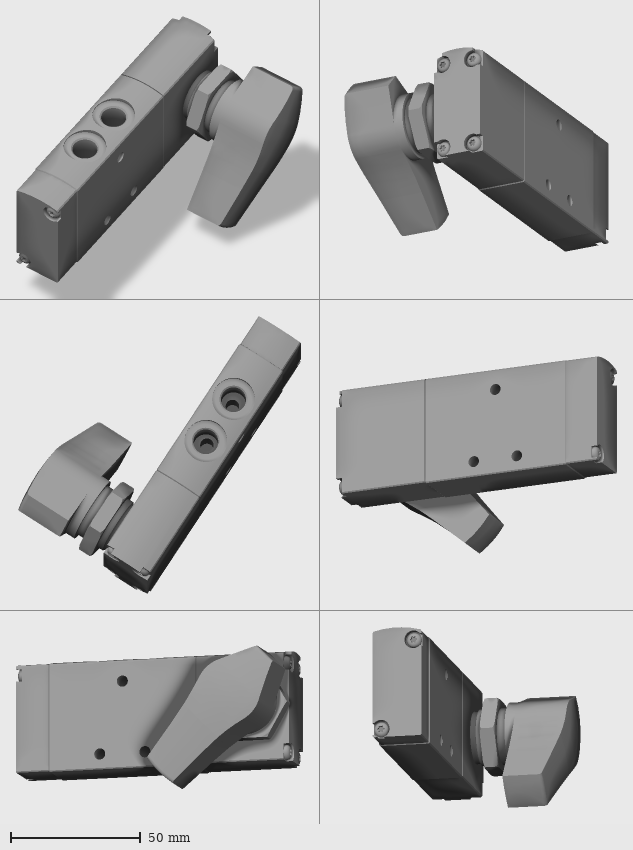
import cadquery as cq
import math


OVERALL_WIDTH = 59.5
BODY_WIDTH = 20.0
HALF_WIDTH = BODY_WIDTH / 2
SHOULDER_Z = 42.1
CROWN_Z = 43.8
REAR_END_Y = 13.9
REAR_JOINT_Y = -23.2
FRONT_JOINT_Y = -82.5
FRONT_END_Y = -95.5
CAP_STEP = 0.3
REAR_STEP = 0.3
EDGE_CHAMFER = 0.5

VALVE_MID_Y = (REAR_JOINT_Y + FRONT_JOINT_Y) / 2
PORT_SPACING = 19.6
CHANNEL_SPACING = 18.1
SPOTFACE_DIAMETER = 16.5
SPOTFACE_Z = 42.2
PORT_DIAMETER = 9.7
PORT_CHAMFER = 0.6
PORT_DEPTH = 11.3
CHANNEL_DIAMETER = 5.2
CHANNEL_DEPTH = 11.3
MOUNT_DIAMETER = 4.4
UPPER_MOUNT_Z = 34.1
LOWER_MOUNT_Z = 6.0

SCREW_X = 6.4
UPPER_SCREW_Z = 38.4
LOWER_SCREW_Z = 3.6
RECESS_DIAMETER = 7.0
RECESS_DEPTH = 2.4
SIDE_SLOT_HEIGHT = 4.7
CORNER_NOTCH_WIDTH = 3.4
CORNER_NOTCH_REACH = 2.9
HEAD_DIAMETER = 5.9
HEAD_HEIGHT = 2.0
HEAD_FILLET = 1.7
SOCKET_DIAMETER = 2.1
LOBE_TIP_DIAMETER = 2.8
LOBE_DIAMETER = 0.7
LOBE_COUNT = 6
SOCKET_DEPTH = 1.1

AXIS_Z = 21.1
NECK_DIAMETER = 22.0
RELIEF_DIAMETER = 20.4
RELIEF_LENGTH = 2.4
RELIEF_SAG = 0.6
NUT_START_X = 14.8
NUT_LENGTH = 5.9
NUT_SIDES = 6
NUT_ACROSS_FLATS = 27.3
NUT_CHAMFER_LENGTH = 0.6
NUT_CHAMFER_HEIGHT = 1.0
COLLAR_START_X = 24.2
COLLAR_DIAMETER = 26.0
HANDLE_START_X = 28.0
HANDLE_END_X = OVERALL_WIDTH - HALF_WIDTH
HANDLE_ANGLE = 45

HUB_RADIUS = COLLAR_DIAMETER / 2
HEAD_U = -20.2
HEAD_HALF_WIDTH = 4.4
CHEEK_U = -14.5
CHEEK_HALF_WIDTH = 7.2
HUB_START_U = -6.4
HUB_END_U = 3.7
WAIST_U = 24.0
WAIST_HALF_WIDTH = 8.7
TAIL_HALF_WIDTH = 7.2
TAIL_RADIUS = 41.5

DOME_RADIUS = 90.3
DOME_TANGENT_U = 15.8
DOME_SWEEP_ANGLE = 40.0
CROWN_RADIUS = 67.7
END_FILLET = 1.5
END_BAND = 1.1


def housing_section(start_y, end_y, half_width, bottom_z, shoulder_z, crown_z):
    """Prism along Y with flat sides, an arched top and chamfers along its lengthwise edges."""
    prism = (
        cq.Workplane("XZ", origin=(0, end_y, 0))
        .moveTo(-half_width, bottom_z)
        .lineTo(half_width, bottom_z)
        .lineTo(half_width, shoulder_z)
        .threePointArc((0, crown_z), (-half_width, shoulder_z))
        .close()
        .extrude(end_y - start_y)
    )
    return prism.edges("|Y").chamfer(EDGE_CHAMFER)


def end_cylinder(x, z, y, inward, diameter, depth):
    """Cylinder that runs from an end face at `y` by `depth` in the direction `inward` (+1 or -1 along Y)."""
    return cq.Workplane(
        cq.Solid.makeCylinder(diameter / 2, depth, cq.Vector(x, y, z), cq.Vector(0, inward, 0))
    )


def end_box(x_range, y_range, z_range):
    """Axis-aligned box between pairs of limits given in either order."""
    lows = [min(pair) for pair in (x_range, y_range, z_range)]
    sizes = [abs(pair[1] - pair[0]) for pair in (x_range, y_range, z_range)]
    return cq.Workplane("XY").box(*sizes, centered=False).translate(tuple(lows))


def screw_head(x, z, floor_y, inward):
    """Domed screw head with a six-lobed socket, standing on the floor of its recess."""
    top_y = floor_y - inward * HEAD_HEIGHT
    face = ">Y" if inward < 0 else "<Y"
    head = end_cylinder(x, z, floor_y, -inward, HEAD_DIAMETER, HEAD_HEIGHT)
    head = head.faces(face).edges().fillet(HEAD_FILLET)
    head = head.cut(end_cylinder(x, z, top_y, inward, SOCKET_DIAMETER, SOCKET_DEPTH))
    lobe_offset = (LOBE_TIP_DIAMETER - LOBE_DIAMETER) / 2
    for index in range(LOBE_COUNT):
        angle = 2 * math.pi * index / LOBE_COUNT
        lobe_x = x + lobe_offset * math.cos(angle)
        lobe_z = z + lobe_offset * math.sin(angle)
        head = head.cut(end_cylinder(lobe_x, lobe_z, top_y, inward, LOBE_DIAMETER, SOCKET_DEPTH))
    return head


def make_valve_body():
    body = housing_section(FRONT_JOINT_Y, REAR_JOINT_Y, HALF_WIDTH, 0, SHOULDER_Z, CROWN_Z)
    body = body.faces("<Y or >Y").edges().chamfer(EDGE_CHAMFER)
    port_floor_z = SPOTFACE_Z - PORT_DEPTH
    for side in (-1, 1):
        port_y = VALVE_MID_Y + side * PORT_SPACING / 2
        channel_y = VALVE_MID_Y + side * CHANNEL_SPACING / 2
        spotface = cq.Workplane("XY", origin=(0, port_y, SPOTFACE_Z)).circle(SPOTFACE_DIAMETER / 2)
        body = body.cut(spotface.extrude(CROWN_Z - SPOTFACE_Z))
        port = (
            cq.Workplane("XZ", origin=(0, port_y, 0))
            .moveTo(0, port_floor_z)
            .lineTo(PORT_DIAMETER / 2, port_floor_z)
            .lineTo(PORT_DIAMETER / 2, SPOTFACE_Z - PORT_CHAMFER)
            .lineTo(PORT_DIAMETER / 2 + PORT_CHAMFER, SPOTFACE_Z)
            .lineTo(0, SPOTFACE_Z)
            .close()
            .revolve(360, (0, 0, 0), (0, 1, 0))
        )
        channel = cq.Workplane("XY", origin=(0, channel_y, port_floor_z)).circle(CHANNEL_DIAMETER / 2)
        body = body.cut(port).cut(channel.extrude(-CHANNEL_DEPTH))
    mounts = [
        (VALVE_MID_Y, UPPER_MOUNT_Z),
        (VALVE_MID_Y - CHANNEL_SPACING / 2, LOWER_MOUNT_Z),
        (VALVE_MID_Y + CHANNEL_SPACING / 2, LOWER_MOUNT_Z),
    ]
    holes = cq.Workplane("YZ").pushPoints(mounts).circle(MOUNT_DIAMETER / 2).extrude(HALF_WIDTH, both=True)
    return body.cut(holes)


def make_front_cap():
    cap = housing_section(
        FRONT_END_Y, FRONT_JOINT_Y, HALF_WIDTH - CAP_STEP, CAP_STEP, SHOULDER_Z, CROWN_Z - CAP_STEP
    )
    floor_y = FRONT_END_Y + RECESS_DEPTH
    for side, z in ((1, UPPER_SCREW_Z), (-1, LOWER_SCREW_Z)):
        x = side * SCREW_X
        slot_z = (z - SIDE_SLOT_HEIGHT / 2, z + SIDE_SLOT_HEIGHT / 2)
        cap = cap.cut(end_cylinder(x, z, FRONT_END_Y, 1, RECESS_DIAMETER, RECESS_DEPTH))
        cap = cap.cut(end_box((x, side * HALF_WIDTH), (FRONT_END_Y, floor_y), slot_z))
        cap = cap.union(screw_head(x, z, floor_y, 1))
    return cap


def make_rear_block():
    block = housing_section(REAR_JOINT_Y, REAR_END_Y, HALF_WIDTH, REAR_STEP, SHOULDER_Z, CROWN_Z)
    floor_y = REAR_END_Y - RECESS_DEPTH
    for side in (-1, 1):
        x = side * SCREW_X
        notch_x = (side * (HALF_WIDTH - CORNER_NOTCH_WIDTH), side * HALF_WIDTH)
        upper_notch_z = (UPPER_SCREW_Z - CORNER_NOTCH_REACH, CROWN_Z)
        lower_notch_z = (0, LOWER_SCREW_Z + CORNER_NOTCH_REACH)
        for z, notch_z in ((UPPER_SCREW_Z, upper_notch_z), (LOWER_SCREW_Z, lower_notch_z)):
            block = block.cut(end_cylinder(x, z, REAR_END_Y, -1, RECESS_DIAMETER, RECESS_DEPTH))
            block = block.cut(end_box(notch_x, (floor_y, REAR_END_Y), notch_z))
            block = block.union(screw_head(x, z, floor_y, -1))
    return block


def make_neck():
    """Threaded neck with a rounded relief groove at the rear block and a collar under the handle."""
    relief_end_x = HALF_WIDTH + RELIEF_LENGTH
    return (
        cq.Workplane("XY")
        .moveTo(HALF_WIDTH, 0)
        .lineTo(HALF_WIDTH, RELIEF_DIAMETER / 2)
        .sagittaArc((relief_end_x, NECK_DIAMETER / 2), -RELIEF_SAG)
        .lineTo(COLLAR_START_X, NECK_DIAMETER / 2)
        .lineTo(COLLAR_START_X, COLLAR_DIAMETER / 2)
        .lineTo(HANDLE_START_X, COLLAR_DIAMETER / 2)
        .lineTo(HANDLE_START_X, 0)
        .close()
        .revolve(360, (0, 0, 0), (1, 0, 0))
    )


def make_nut():
    """Hexagon with flats at top and bottom and conically chamfered corners."""
    corner_diameter = NUT_ACROSS_FLATS / math.cos(math.pi / NUT_SIDES)
    corner_radius = corner_diameter / 2
    nut_end_x = NUT_START_X + NUT_LENGTH
    hexagon = cq.Workplane("YZ", origin=(NUT_START_X, 0, 0)).polygon(NUT_SIDES, corner_diameter)
    hexagon = hexagon.extrude(NUT_LENGTH)
    envelope = (
        cq.Workplane("XY")
        .moveTo(NUT_START_X, 0)
        .lineTo(NUT_START_X, corner_radius - NUT_CHAMFER_HEIGHT)
        .lineTo(NUT_START_X + NUT_CHAMFER_LENGTH, corner_radius)
        .lineTo(nut_end_x - NUT_CHAMFER_LENGTH, corner_radius)
        .lineTo(nut_end_x, corner_radius - NUT_CHAMFER_HEIGHT)
        .lineTo(nut_end_x, 0)
        .close()
        .revolve(360, (0, 0, 0), (1, 0, 0))
    )
    return hexagon.intersect(envelope)


def hub_half_width(u):
    return math.sqrt(HUB_RADIUS**2 - u**2)


def make_handle_prism():
    """Handle outline extruded along X, with the tail along -Y (U = -Y, V = Z)."""
    tail_u = math.sqrt(TAIL_RADIUS**2 - TAIL_HALF_WIDTH**2)
    hub_start_v = hub_half_width(HUB_START_U)
    hub_end_v = hub_half_width(HUB_END_U)
    tail_middle_angle = math.asin(TAIL_HALF_WIDTH / TAIL_RADIUS) / 2

    def half(side):
        """One side of the outline from the head flat to the tail, closed along the middle line."""
        tail_arc_middle = (
            -TAIL_RADIUS * math.cos(tail_middle_angle),
            side * TAIL_RADIUS * math.sin(tail_middle_angle),
        )
        return (
            cq.Workplane("YZ", origin=(HANDLE_START_X, 0, 0))
            .moveTo(-HEAD_U, 0)
            .lineTo(-HEAD_U, side * HEAD_HALF_WIDTH)
            .lineTo(-CHEEK_U, side * CHEEK_HALF_WIDTH)
            .lineTo(-HUB_START_U, side * hub_start_v)
            .threePointArc((0, side * HUB_RADIUS), (-HUB_END_U, side * hub_end_v))
            .tangentArcPoint((-WAIST_U, side * WAIST_HALF_WIDTH), relative=False)
            .lineTo(-tail_u, side * TAIL_HALF_WIDTH)
            .threePointArc(tail_arc_middle, (-TAIL_RADIUS, 0))
            .close()
            .extrude(HANDLE_END_X - HANDLE_START_X)
        )

    return half(1).union(half(-1)).clean()


def make_dome():
    """Block under the handle top: a crowned section turned along an arc, then run straight to the tail."""
    tilt = math.degrees(math.asin(DOME_TANGENT_U / DOME_RADIUS))
    half_span = 2 * HUB_RADIUS
    depth = 2 * (HANDLE_END_X - HANDLE_START_X)
    crown_edge_x = HANDLE_END_X - CROWN_RADIUS + math.sqrt(CROWN_RADIUS**2 - half_span**2)
    arc_centre_x = HANDLE_END_X - DOME_RADIUS
    arc_axis = ((arc_centre_x, 0, 0), (arc_centre_x, 0, 1))

    def section():
        return (
            cq.Workplane("XZ")
            .moveTo(crown_edge_x, -half_span)
            .threePointArc((HANDLE_END_X, 0), (crown_edge_x, half_span))
            .lineTo(HANDLE_END_X - depth, half_span)
            .lineTo(HANDLE_END_X - depth, -half_span)
            .close()
        )

    arched = section().revolve(DOME_SWEEP_ANGLE, (arc_centre_x, 0, 0), (arc_centre_x, 1, 0))
    arched = arched.rotate(*arc_axis, -tilt)
    straight = section().extrude(TAIL_RADIUS)
    straight = straight.rotate(*arc_axis, -tilt)
    return arched.union(straight)


def make_handle():
    """Domed handle with rounded top edges at its two ends, turned to its angle about the axis."""
    handle = make_handle_prism().intersect(make_dome())
    top_x = (HANDLE_START_X + HANDLE_END_X) / 2
    for end_y in (-HEAD_U, -TAIL_RADIUS):
        top_edge = cq.selectors.BoxSelector(
            (top_x, end_y - END_BAND, -END_BAND), (HANDLE_END_X, end_y + END_BAND, END_BAND)
        )
        handle = handle.edges(top_edge).fillet(END_FILLET)
    return handle.rotate((0, 0, 0), (1, 0, 0), HANDLE_ANGLE)


def make_selector():
    selector = make_neck().union(make_nut()).union(make_handle())
    return selector.translate((0, 0, AXIS_Z))


valve_body = make_valve_body()
front_cap = make_front_cap()
rear_block = make_rear_block()
selector = make_selector()

result = cq.Compound.makeCompound(
    [valve_body.val(), front_cap.val(), rear_block.val(), selector.val()]
)